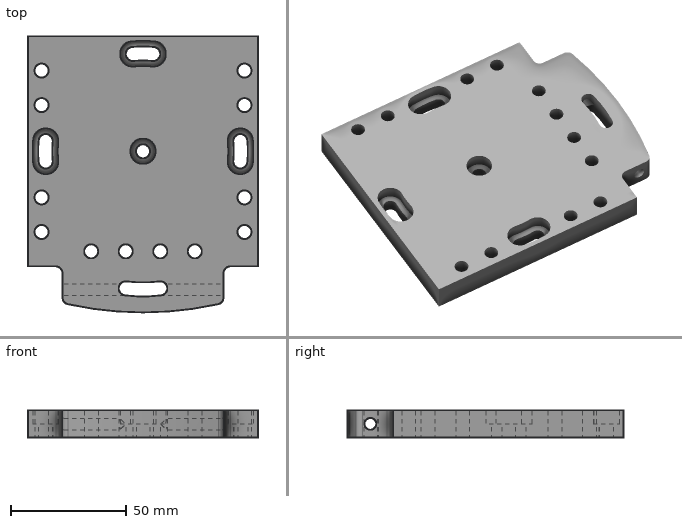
import cadquery as cq
import math

total_length = 120.0
plate_size = 100.0
thickness = 12.0
half_plate = plate_size / 2

tab_width = 70.0
tab_end_radius = 150.0
corner_radius = 3.0
half_tab = tab_width / 2
tab_tip_y = half_plate - total_length
tab_end_rise = tab_end_radius - math.sqrt(tab_end_radius**2 - half_tab**2)
tab_corner_y = tab_tip_y + tab_end_rise

hole_diameter = 6.0
hole_pitch = 15.0
side_hole_x = 44.0
side_hole_inner_y = 20.0
side_hole_outer_y = side_hole_inner_y + hole_pitch
row_hole_count = 4
row_hole_y = -43.5

slot_radius = 42.5
slot_half_angle = 6.0
slot_directions = (0, 90, 180)
tab_slot_radius = 60.0
tab_slot_half_angle = 7.2
tab_slot_direction = 270

counterbore_width = 11.0
counterbore_depth = 6.0
counterbore_floor = thickness - counterbore_depth

cross_hole_diameter = 5.0
cross_hole_y = -tab_slot_radius


def polar_point(radius, angle):
    """Point at an angle in degrees around the plate centre."""
    return (radius * math.cos(math.radians(angle)), radius * math.sin(math.radians(angle)))


def round_cutter(points, diameter, floor=0.0):
    """Vertical cylinders from the floor height up to the top face."""
    return (
        cq.Workplane("XY", origin=(0, 0, floor))
        .pushPoints(points)
        .circle(diameter / 2)
        .extrude(thickness - floor)
    )


def curved_slot_cutter(radius, direction, half_angle, width, floor=0.0):
    """Round-ended slot following an arc around the plate centre."""
    start = direction - half_angle
    end = direction + half_angle
    inner = radius - width / 2
    outer = radius + width / 2
    overrun = math.degrees(2 * math.asin(width / 4 / radius))
    return (
        cq.Workplane("XY", origin=(0, 0, floor))
        .moveTo(*polar_point(outer, start))
        .threePointArc(polar_point(outer, direction), polar_point(outer, end))
        .threePointArc(polar_point(radius, end + overrun), polar_point(inner, end))
        .threePointArc(polar_point(inner, direction), polar_point(inner, start))
        .threePointArc(polar_point(radius, start - overrun), polar_point(outer, start))
        .close()
        .extrude(thickness - floor)
    )


def plate_blank():
    """Square body and bowed tab, with the inner and outer tab corners rounded."""
    blank = (
        cq.Workplane("XY")
        .moveTo(-half_plate, half_plate)
        .lineTo(-half_plate, -half_plate)
        .lineTo(-half_tab, -half_plate)
        .lineTo(-half_tab, tab_corner_y)
        .threePointArc((0, tab_tip_y), (half_tab, tab_corner_y))
        .lineTo(half_tab, -half_plate)
        .lineTo(half_plate, -half_plate)
        .lineTo(half_plate, half_plate)
        .close()
        .extrude(thickness)
    )
    tab_corners = cq.selectors.BoxSelector(
        (-half_tab - corner_radius, tab_tip_y, 0),
        (half_tab + corner_radius, -half_plate + corner_radius, thickness),
    )
    return blank.edges("|Z").edges(tab_corners).fillet(corner_radius)


result = plate_blank()

side_holes = [
    (side * side_hole_x, end * y)
    for side in (-1, 1)
    for end in (-1, 1)
    for y in (side_hole_inner_y, side_hole_outer_y)
]
row_holes = [
    ((index - (row_hole_count - 1) / 2) * hole_pitch, row_hole_y)
    for index in range(row_hole_count)
]
result = result.cut(round_cutter(side_holes + row_holes, hole_diameter))

plate_centre = [(0, 0)]
result = result.cut(round_cutter(plate_centre, hole_diameter))
result = result.cut(round_cutter(plate_centre, counterbore_width, counterbore_floor))

for slot_direction in slot_directions:
    slot = curved_slot_cutter(slot_radius, slot_direction, slot_half_angle, hole_diameter)
    counterbore = curved_slot_cutter(
        slot_radius, slot_direction, slot_half_angle, counterbore_width, counterbore_floor
    )
    result = result.cut(slot).cut(counterbore)

result = result.cut(
    curved_slot_cutter(tab_slot_radius, tab_slot_direction, tab_slot_half_angle, hole_diameter)
)

cross_hole = (
    cq.Workplane("YZ", origin=(-half_tab, cross_hole_y, thickness / 2))
    .circle(cross_hole_diameter / 2)
    .extrude(tab_width)
)
result = result.cut(cross_hole)